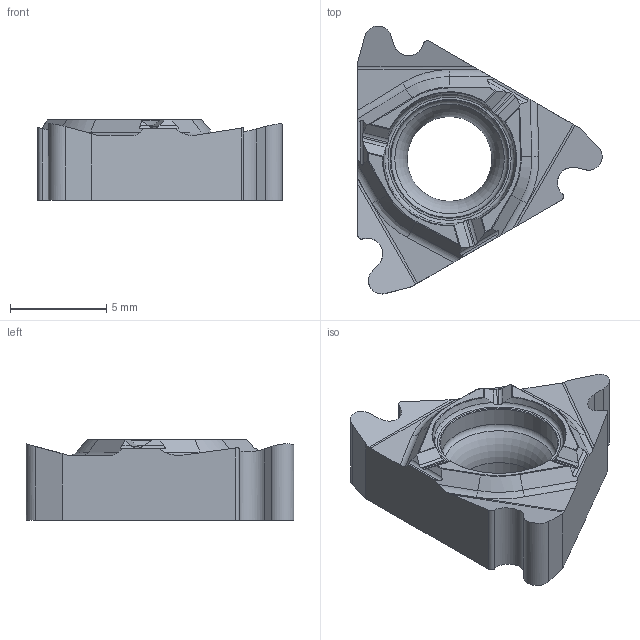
import cadquery as cq
import math

CORNER_PITCH = 120
CORNER_TURNS = (0, CORNER_PITCH, 2 * CORNER_PITCH)

INSCRIBED_RADIUS = 9.525 / 2
SIDE_DIRECTION = 60.0
TIP_X, TIP_Y = -3.712, 6.2
TIP_RADIUS = 0.7
FLANK_ANGLE = 15.5
NOTCH_FLANK_ANGLE = 17.0
NOTCH_FLANK_LENGTH = 0.5
NOTCH_RADIUS = 0.8
HEEL_RADIUS = 0.2

HEIGHT = 4.2
FLOOR_Z = 3.385
RAMP_START = 4.72
RAMP_ANGLE = 15.3
RAMP_BLEND = 0.06
BLANK_RADIUS = 9.0

COLLAR_TOP_DISTANCE = 3.71
COLLAR_DRAFT = 41.0
COLLAR_ROUND_SPAN = 31.8
COLLAR_BASE_FILLET = 0.49
FOOT_REACH = 7.0
FOOT_BAND = 0.01
TOP_BEVEL = 0.025
CORNER_HALF_SPAN = (CORNER_PITCH - COLLAR_ROUND_SPAN) / 2
CORNER_DIRECTION = 90 - CORNER_HALF_SPAN

SHELF_Z = 3.715
SHELF_FLOOR_INNER = 4.64
SHELF_WALL_FOOT = 4.47
SHELF_WALL_FOOT_Z = 3.87
SHELF_FILLET = 0.2
SHELF_WALL_TOP = 4.25
SHELF_HALF_LENGTH = 1.5

GROOVE_FLOOR_Z = 3.755
GROOVE_FLOOR_WIDTH = 0.29
GROOVE_TOP_WIDTH = 1.46
GROOVE_FLOOR_FILLET = 0.3

HOLE_RADIUS = 2.2
SEAT_BOTTOM_Z = 0.86
SEAT_TOP_RADIUS = 2.845
SEAT_TOP_Z = 2.43
BORE_RADIUS = 3.05
BORE_BOTTOM_Z = 2.71
BORE_FILLET = 0.3
LIP_Z = 3.7
LIP_RADIUS = 3.09
RIM_FOOT_RADIUS = 3.2
RIM_FILLET_RADIUS = 3.37
RIM_FILLET_TOP_Z = 3.87
RIM_FILLET = 0.2
RIM_TOP_RADIUS = 3.46

CUT_MARGIN = 1.0


def polar(radius, degrees, center=(0.0, 0.0)):
    angle = math.radians(degrees)
    return (center[0] + radius * math.cos(angle), center[1] + radius * math.sin(angle))


def turned(point, degrees):
    return polar(math.hypot(*point), math.degrees(math.atan2(point[1], point[0])) + degrees)


def bulge_point(start, end, radius):
    """Middle of the short arc from start to end that bows to the right of that direction."""
    chord = math.dist(start, end)
    sagitta = radius - math.sqrt(radius**2 - (chord / 2) ** 2)
    along_x = (end[0] - start[0]) / chord
    along_y = (end[1] - start[1]) / chord
    middle_x = (start[0] + end[0]) / 2
    middle_y = (start[1] + end[1]) / 2
    return (middle_x + along_y * sagitta, middle_y - along_x * sagitta)


def insert_outline():
    """Closed outline, running clockwise through the three corners."""
    tip = (TIP_X, TIP_Y)
    tip_start_angle = 180 - FLANK_ANGLE
    tip_start = polar(TIP_RADIUS, tip_start_angle, tip)
    flank_run = tip_start[0] + INSCRIBED_RADIUS
    flank_foot = (-INSCRIBED_RADIUS, tip_start[1] - flank_run / math.tan(math.radians(FLANK_ANGLE)))
    tip_end = polar(TIP_RADIUS, NOTCH_FLANK_ANGLE, tip)
    tip_middle = polar(TIP_RADIUS, (tip_start_angle + NOTCH_FLANK_ANGLE) / 2, tip)

    notch_start = polar(NOTCH_FLANK_LENGTH, NOTCH_FLANK_ANGLE - 90, tip_end)
    notch = polar(NOTCH_RADIUS, NOTCH_FLANK_ANGLE, notch_start)

    notch_distance, notch_along = turned(notch, -SIDE_DIRECTION)
    heel_distance = INSCRIBED_RADIUS - HEEL_RADIUS
    rise = heel_distance - notch_distance
    heel_along = notch_along - math.sqrt((NOTCH_RADIUS + HEEL_RADIUS) ** 2 - rise**2)
    heel = turned((heel_distance, heel_along), SIDE_DIRECTION)
    heel_angle = math.degrees(math.atan2(heel[1] - notch[1], heel[0] - notch[0]))
    notch_start_angle = 180 + NOTCH_FLANK_ANGLE
    notch_middle = polar(NOTCH_RADIUS, (notch_start_angle + heel_angle + 360) / 2, notch)
    notch_end = polar(NOTCH_RADIUS, heel_angle, notch)
    heel_middle = polar(HEEL_RADIUS, (heel_angle + 180 + SIDE_DIRECTION) / 2, heel)
    heel_end = polar(HEEL_RADIUS, SIDE_DIRECTION, heel)

    outline = cq.Workplane("XY").moveTo(*turned(flank_foot, CORNER_TURNS[-1]))
    for turn in reversed(CORNER_TURNS):
        outline = outline.lineTo(*turned(tip_start, turn))
        outline = outline.threePointArc(turned(tip_middle, turn), turned(tip_end, turn))
        outline = outline.lineTo(*turned(notch_start, turn))
        outline = outline.threePointArc(turned(notch_middle, turn), turned(notch_end, turn))
        outline = outline.threePointArc(turned(heel_middle, turn), turned(heel_end, turn))
        outline = outline.lineTo(*turned(flank_foot, turn - CORNER_PITCH))
    return outline.close()


def collar():
    """Tapered solid block with three rounded sides and three sharp corners."""
    base_distance = COLLAR_TOP_DISTANCE + (HEIGHT - FLOOR_Z) * math.tan(math.radians(COLLAR_DRAFT))
    corner = polar(base_distance / math.cos(math.radians(CORNER_HALF_SPAN)), CORNER_DIRECTION)
    round_start = polar(base_distance, 90)
    round_middle = polar(base_distance, 90 + COLLAR_ROUND_SPAN / 2)
    round_end = polar(base_distance, 90 + COLLAR_ROUND_SPAN)
    outline = cq.Workplane("XY", origin=(0, 0, FLOOR_Z)).moveTo(*corner)
    for turn in CORNER_TURNS:
        outline = outline.lineTo(*turned(round_start, turn))
        outline = outline.threePointArc(turned(round_middle, turn), turned(round_end, turn))
        outline = outline.lineTo(*turned(corner, turn + CORNER_PITCH))
    return outline.close().extrude(HEIGHT - FLOOR_Z, taper=COLLAR_DRAFT)


def ramp():
    """Wedge that rises from the floor toward the corner on the +Y side."""
    slope = math.radians(RAMP_ANGLE)
    half_slope = slope / 2
    blend_radius = RAMP_BLEND / math.tan(half_slope)
    blend_start = RAMP_START - RAMP_BLEND
    end_z = FLOOR_Z + (BLANK_RADIUS - RAMP_START) * math.tan(slope)
    return (
        cq.Workplane("YZ", origin=(-BLANK_RADIUS, 0, 0))
        .moveTo(blend_start, 0)
        .lineTo(blend_start, FLOOR_Z)
        .threePointArc(
            (
                blend_start + blend_radius * math.sin(half_slope),
                FLOOR_Z + blend_radius * (1 - math.cos(half_slope)),
            ),
            (
                blend_start + blend_radius * math.sin(slope),
                FLOOR_Z + blend_radius * (1 - math.cos(slope)),
            ),
        )
        .lineTo(BLANK_RADIUS, end_z)
        .lineTo(BLANK_RADIUS, 0)
        .close()
        .extrude(2 * BLANK_RADIUS)
    )


def shelf_cutter():
    """Opens the shelf on the side next to the +Y corner's notch."""
    outer = INSCRIBED_RADIUS + CUT_MARGIN
    wall_slope = (SHELF_WALL_FOOT - SHELF_WALL_TOP) / (HEIGHT - SHELF_WALL_FOOT_Z)
    tool_top = HEIGHT + CUT_MARGIN
    arc_start = (SHELF_FLOOR_INNER, SHELF_Z)
    arc_end = (SHELF_WALL_FOOT, SHELF_WALL_FOOT_Z)
    shelf_middle = SHELF_WALL_FOOT * math.tan(math.radians(CORNER_DIRECTION - SIDE_DIRECTION))
    return (
        cq.Workplane("XZ", origin=(0, shelf_middle + SHELF_HALF_LENGTH, 0))
        .moveTo(outer, SHELF_Z)
        .lineTo(*arc_start)
        .threePointArc(bulge_point(arc_end, arc_start, SHELF_FILLET), arc_end)
        .lineTo(SHELF_WALL_TOP - CUT_MARGIN * wall_slope, tool_top)
        .lineTo(outer, tool_top)
        .close()
        .extrude(2 * SHELF_HALF_LENGTH)
        .rotate((0, 0, 0), (0, 0, 1), SIDE_DIRECTION)
    )


def groove_cutter():
    """Radial groove with sloping walls and a rounded floor, opening from the hole outward."""
    half_floor = GROOVE_FLOOR_WIDTH / 2
    half_top = GROOVE_TOP_WIDTH / 2
    wall_slope = (half_top - half_floor) / (HEIGHT - GROOVE_FLOOR_Z)
    half_tool_top = half_top + CUT_MARGIN * wall_slope
    tool_top = HEIGHT + CUT_MARGIN
    return (
        cq.Workplane("YZ", origin=(HOLE_RADIUS, 0, 0))
        .polyline(
            [
                (-half_floor, GROOVE_FLOOR_Z),
                (half_floor, GROOVE_FLOOR_Z),
                (half_tool_top, tool_top),
                (-half_tool_top, tool_top),
            ]
        )
        .close()
        .extrude(BLANK_RADIUS - HOLE_RADIUS)
        .edges("|X and <Z")
        .fillet(GROOVE_FLOOR_FILLET)
        .rotate((0, 0, 0), (0, 0, 1), CORNER_DIRECTION)
    )


def hole_cutter():
    """Screw hole with a curved seat, a straight bore and a stepped rim, as one turned tool."""
    seat_drop = SEAT_TOP_Z - SEAT_BOTTOM_Z
    seat_step = SEAT_TOP_RADIUS - HOLE_RADIUS
    seat_radius = (seat_drop**2 + seat_step**2) / (2 * seat_step)
    seat_bottom = (HOLE_RADIUS, SEAT_BOTTOM_Z)
    seat_top = (SEAT_TOP_RADIUS, SEAT_TOP_Z)
    bore_bottom = (BORE_RADIUS, BORE_BOTTOM_Z)
    rim_foot = (RIM_FOOT_RADIUS, LIP_Z)
    rim_fillet_top = (RIM_FILLET_RADIUS, RIM_FILLET_TOP_Z)
    lip_bevel = LIP_RADIUS - BORE_RADIUS
    return (
        cq.Workplane("XZ")
        .moveTo(0, -CUT_MARGIN)
        .lineTo(HOLE_RADIUS, -CUT_MARGIN)
        .lineTo(*seat_bottom)
        .threePointArc(bulge_point(seat_top, seat_bottom, seat_radius), seat_top)
        .threePointArc(bulge_point(seat_top, bore_bottom, BORE_FILLET), bore_bottom)
        .lineTo(BORE_RADIUS, LIP_Z - lip_bevel)
        .lineTo(LIP_RADIUS, LIP_Z)
        .lineTo(*rim_foot)
        .threePointArc(bulge_point(rim_foot, rim_fillet_top, RIM_FILLET), rim_fillet_top)
        .lineTo(RIM_TOP_RADIUS, HEIGHT)
        .lineTo(RIM_TOP_RADIUS, HEIGHT + CUT_MARGIN)
        .lineTo(0, HEIGHT + CUT_MARGIN)
        .close()
        .revolve(360, (0, 0, 0), (0, 1, 0))
    )


def at_corners(feature):
    """The feature at each of the three corners."""
    return [feature.rotate((0, 0, 0), (0, 0, 1), turn) for turn in CORNER_TURNS]


def collar_on_floor():
    """Round blank at floor level carrying the collar, with the foot of the collar rounded."""
    foot_box = cq.selectors.BoxSelector(
        (-FOOT_REACH, -FOOT_REACH, FLOOR_Z - FOOT_BAND),
        (FOOT_REACH, FOOT_REACH, FLOOR_Z + FOOT_BAND),
        boundingbox=True,
    )
    blank = cq.Workplane("XY").circle(BLANK_RADIUS).extrude(FLOOR_Z)
    return blank.union(collar()).edges(foot_box).fillet(COLLAR_BASE_FILLET)


def build_insert():
    body = collar_on_floor()
    for wedge in at_corners(ramp()):
        body = body.union(wedge)
    body = body.intersect(insert_outline().extrude(HEIGHT))
    body = body.cut(hole_cutter())
    for cutter in at_corners(groove_cutter()) + at_corners(shelf_cutter()):
        body = body.cut(cutter)
    return body.faces(">Z").edges().chamfer(TOP_BEVEL)


result = build_insert()